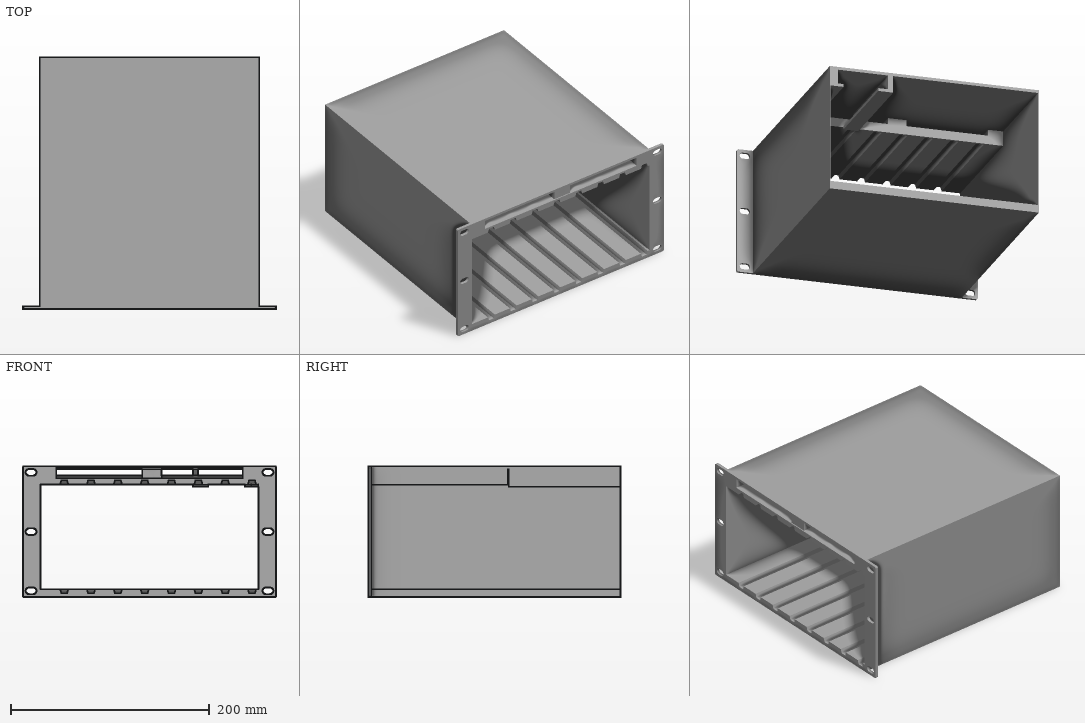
import cadquery as cq

WIDTH = 255.0
DEPTH = 254.0
HEIGHT = 132.0

PANEL_THICK = 3.0
PANEL_CORNER = 1.5
MOUNT_LENGTH = 10.7
MOUNT_HEIGHT = 6.5
MOUNT_EDGE_X = 8.2
MOUNT_EDGE_Z = 6.5

CASE_WIDTH = 221.3
SIDE_THICK = 0.9
ROOF_THICK = 3.0
FLOOR_THICK = 8.2
HEAD_HEIGHT = 18.5
HEAD_END = 140.2
BAY_WIDTH = CASE_WIDTH - 2 * SIDE_THICK
BAY_TOP = HEIGHT - HEAD_HEIGHT

DUCT_WIDTH = 187.7
DUCT_FLOOR = HEIGHT - 12.5
PANEL_RIM = 1.0
ROOF_SETBACK = 0.5
LIP_HEIGHT = 3.0
LIP_THICK = 3.0
DIVIDER_LEFT = -7.5
DIVIDER_WIDTH = 19.6
DIVIDER_SETBACK = 1.0

GROOVE_COUNT = 8
GROOVE_FIRST = -86.0
GROOVE_PITCH = 27.0
GROOVE_MOUTH = 8.5
GROOVE_BASE = 5.9
GROOVE_DEPTH = 4.0
GROOVE_STOP = 3.0

RAIL_DEPTH = 21.0
FOOT_THICK = 3.0
LEFT_RAIL = 43.5
LEFT_FOOT_WIDTH = 15.8
LEFT_WEB_WIDTH = 5.4
RIGHT_RAIL = 96.1
RIGHT_FOOT_WIDTH = 6.0
RIGHT_WEB_SETBACK = 1.0


def block(x0, x1, y0, y1, z0, z1):
    """Box between two opposite corners."""
    return cq.Workplane("XY").box(x1 - x0, y1 - y0, z1 - z0, centered=False).translate((x0, y0, z0))


def centred_block(width, y0, y1, z0, z1):
    """Box placed symmetrically about X = 0."""
    return block(-width / 2, width / 2, y0, y1, z0, z1)


def front_panel():
    panel = centred_block(WIDTH, 0, PANEL_THICK, 0, HEIGHT).edges("|Y").fillet(PANEL_CORNER)
    hole_x = WIDTH / 2 - MOUNT_EDGE_X
    hole_z = HEIGHT / 2 - MOUNT_EDGE_Z
    centres = [(x, z) for x in (-hole_x, hole_x) for z in (-hole_z, 0, hole_z)]
    holes = (
        cq.Workplane("XZ", origin=(0, 0, HEIGHT / 2))
        .pushPoints(centres)
        .slot2D(MOUNT_LENGTH, MOUNT_HEIGHT)
        .extrude(-PANEL_THICK)
    )
    return panel.cut(holes)


def case():
    """Tube open at both ends, with the head block in its front part."""
    shell = centred_block(CASE_WIDTH, PANEL_THICK, DEPTH, 0, HEIGHT)
    head = centred_block(CASE_WIDTH, PANEL_THICK, HEAD_END, BAY_TOP, HEIGHT)
    cavity = centred_block(BAY_WIDTH, PANEL_THICK, DEPTH, FLOOR_THICK, HEIGHT - ROOF_THICK)
    return shell.cut(cavity).union(head)


def duct():
    """Duct space: slightly taller at its mouth than under the roof."""
    mouth = centred_block(DUCT_WIDTH, 0, ROOF_SETBACK, DUCT_FLOOR, HEIGHT - PANEL_RIM)
    passage = centred_block(DUCT_WIDTH, 0, HEAD_END, DUCT_FLOOR, HEIGHT - ROOF_THICK)
    return mouth.union(passage)


def duct_fittings():
    """Divider along the duct and the lip across its rear end."""
    divider = block(
        DIVIDER_LEFT, DIVIDER_LEFT + DIVIDER_WIDTH,
        DIVIDER_SETBACK, HEAD_END,
        DUCT_FLOOR, HEIGHT - ROOF_THICK,
    )
    lip = centred_block(DUCT_WIDTH, HEAD_END - LIP_THICK, HEAD_END, DUCT_FLOOR, DUCT_FLOOR + LIP_HEIGHT)
    return divider.union(lip)


def groove(x, mouth_z, direction):
    """Tapered groove from the panel front, cut up (direction 1) or down (-1)."""
    base_z = mouth_z + direction * GROOVE_DEPTH
    return (
        cq.Workplane("XZ")
        .polyline([
            (x - GROOVE_MOUTH / 2, mouth_z),
            (x + GROOVE_MOUTH / 2, mouth_z),
            (x + GROOVE_BASE / 2, base_z),
            (x - GROOVE_BASE / 2, base_z),
        ])
        .close()
        .extrude(-(HEAD_END - GROOVE_STOP))
    )


def tray_rails():
    """Facing L rails under the roof; the right one fills the gap to the side wall."""
    bottom = HEIGHT - RAIL_DEPTH
    foot_top = bottom + FOOT_THICK
    left_foot = block(LEFT_RAIL, LEFT_RAIL + LEFT_FOOT_WIDTH, HEAD_END, DEPTH, bottom, foot_top)
    left_web = block(LEFT_RAIL, LEFT_RAIL + LEFT_WEB_WIDTH, HEAD_END, DEPTH, bottom, HEIGHT)
    web_x = RIGHT_RAIL + RIGHT_FOOT_WIDTH
    right_foot = block(RIGHT_RAIL, web_x, HEAD_END, DEPTH, bottom, foot_top)
    right_web = block(web_x, CASE_WIDTH / 2, HEAD_END + RIGHT_WEB_SETBACK, DEPTH, bottom, HEIGHT)
    return left_foot.union(left_web).union(right_foot).union(right_web)


result = front_panel().union(case())
result = result.cut(centred_block(BAY_WIDTH, 0, PANEL_THICK, FLOOR_THICK, BAY_TOP))
result = result.cut(duct()).union(duct_fittings())
for index in range(GROOVE_COUNT):
    groove_x = GROOVE_FIRST + index * GROOVE_PITCH
    result = result.cut(groove(groove_x, BAY_TOP, 1))
    result = result.cut(groove(groove_x, FLOOR_THICK, -1))
result = result.union(tray_rails())